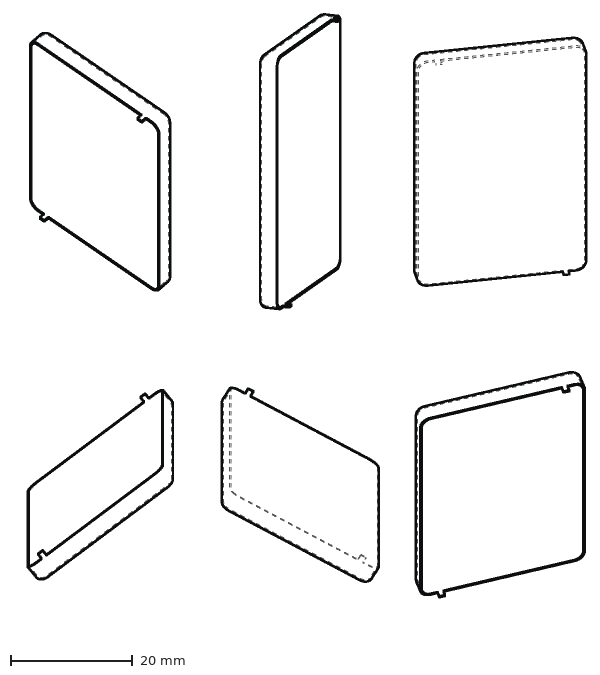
import cadquery as cq

width = 28.4
height = 43.4
total_depth = 4.3

wall = 0.3
corner_radius = 1.82
back_edge_radius = 1.0

tab_width = 1.0
tab_length = 1.0
tab_side_inset = 3.0

tray_depth = total_depth - tab_length
tab_x = width / 2 - tab_side_inset - tab_width / 2
tab_z = height / 2 - wall / 2


def rounded_block(inset):
    """Block with rounded corners and back edge, inset from the tray's sides and back."""
    block = cq.Workplane("XY").box(
        width - 2 * inset,
        tray_depth - inset,
        height - 2 * inset,
        centered=(True, False, True),
    )
    block = block.edges("|Y").fillet(corner_radius - inset)
    return block.faces(">Y").edges().fillet(back_edge_radius - inset)


def rim_tab(x, z):
    """Tab standing forward from the rim, as thick as the wall."""
    return (
        cq.Workplane("XY")
        .box(tab_width, tab_length, wall, centered=(True, False, True))
        .translate((x, -tab_length, z))
    )


tray = rounded_block(0).cut(rounded_block(wall))

result = tray
for side in (-1, 1):
    result = result.union(rim_tab(side * tab_x, side * tab_z))